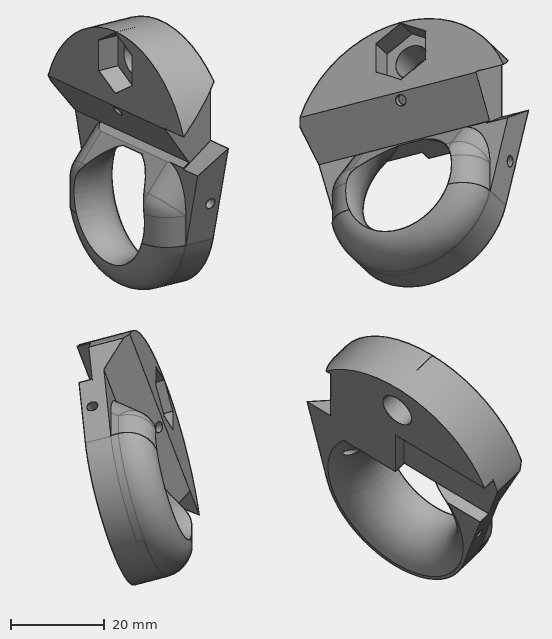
import cadquery as cq
import math

ring_radius = 19.1
ring_depth = 13.9
ring_round = 6.5
hole_throat_radius = 11.95
hole_throat_depth = 9.9
hole_flare = 6.4
hole_top_z = 11.7

overall_height = 58.25

disc_radius = 26.15
disc_x = -0.25
disc_z = overall_height - ring_radius - disc_radius
head_depth = 11.95
shoulder_z = 20.5

vee_top_z = 22.2
vee_root_z = 13.45
left_plate_depth = 5.7
right_plate_depth = 7.15
vee_angle = math.atan2(vee_top_z - vee_root_z, head_depth - left_plate_depth)
ledge_slope = 1 / math.tan(vee_angle)
ledge_front_z = vee_root_z - ledge_slope * (right_plate_depth - left_plate_depth)

boss_half_width = 18.45
bend_radius = 6.6
bend_depth = ring_depth - bend_radius
bend_z = 2.05
lean_angle = math.radians(40)
arch_base_z = -4.7

slot_x = 17.6
slot_front_top_z = 22.35
slot_back_bottom_z = 17.25

recess_depth = 2.95
recess_top_z = 23.6
recess_end_x = 0

bolt_diameter = 7.75
bolt_x = -0.45
bolt_z = 32.05
nut_across_flats = 11.95
nut_depth = 5.1

pin_diameter = 2.4
pin_hole_x = -1.0
pin_hole_z = 20.75
pin_hole_depth = 1.75
side_hole_y = -2.4
side_hole_z = 4.35

reach = 1.2 * overall_height


def tangent_angle(point_x, point_z, side):
    """Polar angle of the ring point where a line from an outside point touches."""
    opening = math.acos(ring_radius / math.hypot(point_x, point_z))
    return math.atan2(point_z, point_x) - side * opening


def front_sketch():
    """Sketch on the back plane; extruding goes forward."""
    return cq.Workplane("XZ")


def bar_along_x(points, x_start, x_end):
    """Prism along X from (forward depth, Z) corners."""
    corners = [(-depth, z) for depth, z in points]
    return cq.Workplane("YZ").workplane(offset=x_start).polyline(corners).close().extrude(x_end - x_start)


shoulder_half = math.sqrt(disc_radius**2 - (shoulder_z - disc_z) ** 2)
left_shoulder = (disc_x - shoulder_half, shoulder_z)
right_shoulder = (disc_x + shoulder_half, shoulder_z)
left_angle = tangent_angle(*left_shoulder, -1)
right_angle = tangent_angle(*right_shoulder, 1)
left_touch = (ring_radius * math.cos(left_angle), ring_radius * math.sin(left_angle))
right_touch = (ring_radius * math.cos(right_angle), ring_radius * math.sin(right_angle))


def body_outline():
    return (
        front_sketch()
        .moveTo(*left_shoulder)
        .threePointArc((disc_x, disc_z + disc_radius), right_shoulder)
        .lineTo(*right_touch)
        .threePointArc((0, -ring_radius), left_touch)
        .close()
    )


def make_body():
    """Full outline, with the head and the two flanking plates at their own depths."""
    profile = [
        (0, -reach),
        (right_plate_depth, -reach),
        (right_plate_depth, ledge_front_z),
        (left_plate_depth, vee_root_z),
        (head_depth, vee_top_z),
        (head_depth, reach),
        (0, reach),
    ]
    body = body_outline().extrude(ring_depth).intersect(bar_along_x(profile, -reach, reach))
    left_step = [
        (left_plate_depth, -reach),
        (ring_depth, -reach),
        (ring_depth, vee_root_z),
        (left_plate_depth, vee_root_z),
    ]
    return body.cut(bar_along_x(left_step, -reach, 0))


def make_arch():
    """Upper half of the ring boss: two upright sides that bend back at the lean angle."""

    def on_bend(angle):
        return bend_depth + bend_radius * math.cos(angle), bend_z + bend_radius * math.sin(angle)

    bend_end_depth, bend_end_z = on_bend(lean_angle)
    back_z = bend_end_z + bend_end_depth / math.tan(lean_angle)
    middle_depth, middle_z = on_bend(lean_angle / 2)
    arch = (
        cq.Workplane("YZ")
        .workplane(offset=-boss_half_width)
        .moveTo(0, arch_base_z)
        .lineTo(-ring_depth, arch_base_z)
        .lineTo(-ring_depth, bend_z)
        .threePointArc((-middle_depth, middle_z), (-bend_end_depth, bend_end_z))
        .lineTo(0, back_z)
        .close()
        .extrude(2 * boss_half_width)
    )
    front_edges = cq.selectors.BoxSelector(
        (-reach, -ring_depth - 0.6, arch_base_z + 0.6), (reach, -0.6, reach)
    )
    arch = arch.edges("<X or >X").edges(front_edges).fillet(ring_round)
    below_vee = [
        (0, arch_base_z),
        (ring_depth, arch_base_z),
        (ring_depth, vee_root_z - ledge_slope * (ring_depth - left_plate_depth)),
        (left_plate_depth, vee_root_z),
        (0, vee_root_z),
    ]
    return arch.intersect(bar_along_x(below_vee, -reach, reach))


def make_ring_bottom():
    """Lower part of the ring, its front edge rounded over."""
    ring = front_sketch().circle(ring_radius).extrude(ring_depth).faces("<Y").edges().fillet(ring_round)
    below_arch = cq.Workplane("XY", origin=(0, 0, arch_base_z)).rect(reach, reach).extrude(-reach)
    return ring.intersect(below_arch)


def finger_hole():
    """Hole that is narrowest near the front and flares to the back, with a flat top."""
    wall_radius = (hole_throat_depth**2 + hole_flare**2) / (2 * hole_flare)
    mouth_offset = ring_depth - hole_throat_depth
    mouth_radius = hole_throat_radius + wall_radius - math.sqrt(wall_radius**2 - mouth_offset**2)
    hole = (
        cq.Workplane("XY")
        .lineTo(hole_throat_radius + hole_flare, 0)
        .threePointArc((hole_throat_radius, -hole_throat_depth), (mouth_radius, -ring_depth))
        .lineTo(0, -ring_depth)
        .close()
        .revolve(360, (0, 0), (0, 1))
    )
    below_top = cq.Workplane("XY", origin=(0, 0, hole_top_z)).rect(reach, reach).extrude(-reach)
    return hole.intersect(below_top)


def end_slot():
    """Slanted slot at the right end, parallel to the ledge."""
    rise_to_back = ledge_slope * head_depth
    corners = [
        (0, slot_back_bottom_z),
        (ring_depth, slot_back_bottom_z - ledge_slope * ring_depth),
        (ring_depth, slot_front_top_z - ledge_slope * (ring_depth - head_depth)),
        (0, slot_front_top_z + rise_to_back),
    ]
    return bar_along_x(corners, slot_x, reach)


def back_recess():
    corners = [(0, hole_top_z), (recess_depth, hole_top_z), (recess_depth, recess_top_z), (0, recess_top_z)]
    return bar_along_x(corners, -reach, recess_end_x)


def bolt_and_nut():
    """Through hole for the bolt and a hexagonal pocket for its nut."""
    nut_diameter = nut_across_flats / math.cos(math.pi / 6)
    bolt = front_sketch().center(bolt_x, bolt_z).circle(bolt_diameter / 2).extrude(head_depth)
    nut = (
        cq.Workplane("XZ", origin=(bolt_x, -head_depth, bolt_z))
        .transformed(rotate=(0, 0, 90))
        .polygon(6, nut_diameter)
        .extrude(-nut_depth)
    )
    return bolt.union(nut)


def pin_hole():
    """Shallow hole square to the upper face of the vee."""
    depth = left_plate_depth + (pin_hole_z - vee_root_z) / math.tan(vee_angle)
    inward = cq.Vector(0, math.sin(vee_angle), math.cos(vee_angle))
    mouth = cq.Vector(pin_hole_x, -depth, pin_hole_z)
    return cq.Solid.makeCylinder(
        pin_diameter / 2, 2 * pin_hole_depth, mouth - inward * pin_hole_depth, inward
    )


def side_hole(shoulder, touch):
    """Hole square to a flank, running into the finger hole."""
    part_way = (side_hole_z - touch[1]) / (shoulder[1] - touch[1])
    mouth = cq.Vector(touch[0] + part_way * (shoulder[0] - touch[0]), side_hole_y, side_hole_z)
    inward = cq.Vector(-touch[0], 0, -touch[1]).normalized()
    overrun = pin_diameter
    return cq.Solid.makeCylinder(
        pin_diameter / 2, ring_radius / 2 + 2 * overrun, mouth - inward * overrun, inward
    )


result = make_body().union(make_arch()).union(make_ring_bottom())
result = result.cut(finger_hole()).cut(end_slot()).cut(back_recess()).cut(bolt_and_nut()).cut(pin_hole())
for shoulder, touch in ((left_shoulder, left_touch), (right_shoulder, right_touch)):
    result = result.cut(side_hole(shoulder, touch))